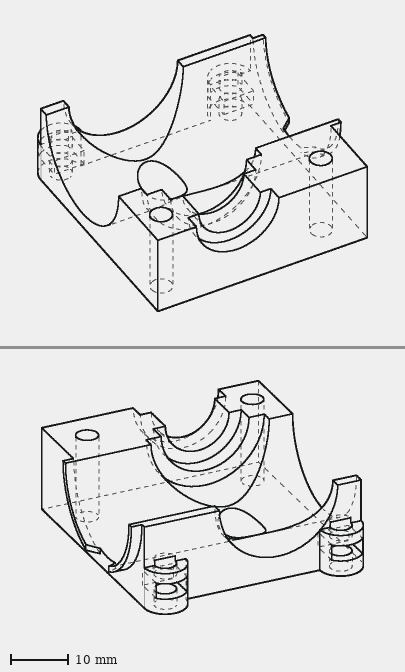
import cadquery as cq

body_side = 42.0
body_height = 16.0
hole_diameter = 4.0

channel_x = 15.0
channel_radius = 12.95

lip_length = 2.02
lip_wall = 1.0
lip_radius = channel_radius + lip_wall
notch_half_width_root = 3.1
notch_half_width_tip = 4.6

cross_y = 16.0
cross_steps = [
    (30.0, 11.45),
    (33.2, 8.5),
    (39.1, 6.15),
    (body_side, 8.3),
]

hump_radius = 6.0
hump_top_depth = 11.7
hump_length = 2 * channel_radius

lug_radius = 4.0
lug_height = 8.0
lug_centers_y = (lug_radius, body_side - lug_radius)
pin_hole_extra_height = 1.0
pin_hole_height = lug_height + pin_hole_extra_height
slot_width = 6.0
slot_bottom = 3.0
slot_height = 3.0
slot_depth_in_body = 3.0

bolt_x = 36.0
bolt_ys = (lug_radius, 36.0)


def cylinder_along_x(start, end, radius, y, z):
    base = cq.Workplane("YZ", origin=(start, y, z))
    return base.circle(radius).extrude(end - start)


def cylinder_along_y(start, end, radius, x, z):
    base = cq.Workplane("XZ", origin=(x, start, z))
    return base.circle(radius).extrude(start - end)


def cylinder_along_z(height, radius, x, y):
    return cq.Workplane("XY", origin=(x, y, 0)).circle(radius).extrude(height)


def make_block():
    return cq.Workplane("XY").box(body_side, body_side, body_height, centered=False)


def make_lip():
    back = body_side + lip_length
    ring = cylinder_along_y(body_side, back, lip_radius, channel_x, body_height)
    below_top = cq.Workplane("XY").box(body_side, back, body_height, centered=False)
    notch = (
        cq.Workplane("XY")
        .polyline([
            (channel_x - notch_half_width_root, body_side),
            (channel_x + notch_half_width_root, body_side),
            (channel_x + notch_half_width_tip, back),
            (channel_x - notch_half_width_tip, back),
        ])
        .close()
        .extrude(body_height)
    )
    return ring.intersect(below_top).cut(notch)


def make_cross_channel():
    start = 0
    channel = cq.Workplane("XY")
    for end, radius in cross_steps:
        channel = channel.union(cylinder_along_x(start, end, radius, cross_y, body_height))
        start = end
    return channel


def make_hump():
    """Part of a cylinder along X that rises above the main channel floor."""
    start = channel_x - hump_length / 2
    axis_z = body_height - hump_top_depth - hump_radius
    hump = cylinder_along_x(start, start + hump_length, hump_radius, cross_y, axis_z)
    return hump.intersect(make_block())


def make_hinge_cut(y):
    """Pin hole centred on the hinge face, joined with the knuckle slot."""
    pin_hole = cylinder_along_z(pin_hole_height, hole_diameter / 2, 0, y)
    slot = cq.Workplane("XY").box(
        lug_radius + slot_depth_in_body, slot_width, slot_height, centered=(False, True, False)
    ).translate((-lug_radius, y, slot_bottom))
    return pin_hole.union(slot)


result = make_block().union(make_lip())
for lug_y in lug_centers_y:
    result = result.union(cylinder_along_z(lug_height, lug_radius, 0, lug_y))

main_channel = cylinder_along_y(0, body_side + lip_length, channel_radius, channel_x, body_height)
result = result.cut(main_channel).cut(make_cross_channel())
result = result.union(make_hump())

for lug_y in lug_centers_y:
    result = result.cut(make_hinge_cut(lug_y))
for bolt_y in bolt_ys:
    result = result.cut(cylinder_along_z(body_height, hole_diameter / 2, bolt_x, bolt_y))